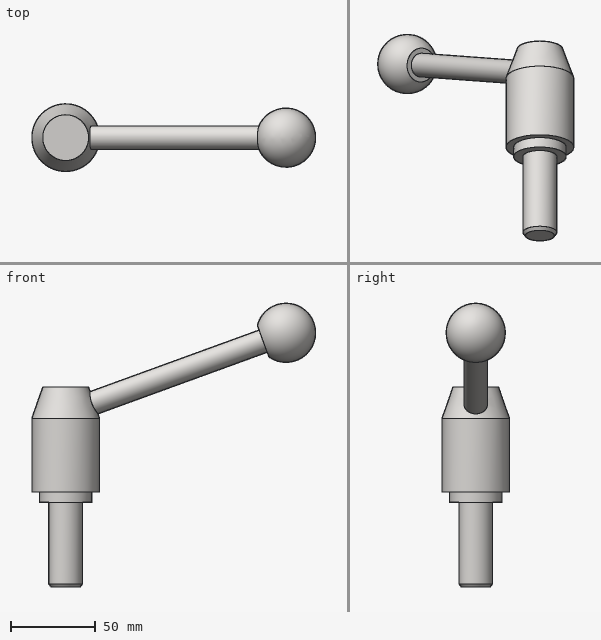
import cadquery as cq
import math


stud_diameter = 20.0
stud_length = 50.0
stud_chamfer_width = 1.5
stud_chamfer_height = 2.0

collar_diameter = 31.0
collar_height = 6.0
hub_diameter = 40.0
hub_top_diameter = 27.0
hub_shoulder_z = 49.5
hub_top_z = 68.0

arm_diameter = 14.0
arm_angle = 20.0
ball_diameter = 35.0
ball_flat_diameter = 20.0
ball_center_x = 129.81
ball_center_z = 99.82

ball_radius = ball_diameter / 2
ball_flat_radius = ball_flat_diameter / 2
ball_flat_offset = math.sqrt(ball_radius**2 - ball_flat_radius**2)

arm_length = ball_center_x / math.cos(math.radians(arm_angle))
arm_start_z = ball_center_z - ball_center_x * math.tan(math.radians(arm_angle))


def make_hub_and_stud():
    """Stud, collar and cone-topped hub revolved about Z."""
    stud_radius = stud_diameter / 2
    collar_radius = collar_diameter / 2
    hub_radius = hub_diameter / 2
    return (
        cq.Workplane("XZ")
        .moveTo(0, -stud_length)
        .lineTo(stud_radius - stud_chamfer_width, -stud_length)
        .lineTo(stud_radius, -stud_length + stud_chamfer_height)
        .lineTo(stud_radius, 0)
        .lineTo(collar_radius, 0)
        .lineTo(collar_radius, collar_height)
        .lineTo(hub_radius, collar_height)
        .lineTo(hub_radius, hub_shoulder_z)
        .lineTo(hub_top_diameter / 2, hub_top_z)
        .lineTo(0, hub_top_z)
        .close()
        .revolve(360, (0, 0), (0, 1))
    )


def make_arm_and_ball():
    """Arm and flat-faced ball revolved about the arm centreline."""
    arm_radius = arm_diameter / 2
    ball_flat_x = arm_length - ball_flat_offset
    profile = (
        cq.Workplane("XZ")
        .lineTo(0, arm_radius)
        .lineTo(ball_flat_x, arm_radius)
        .lineTo(ball_flat_x, ball_flat_radius)
        .threePointArc((arm_length, ball_radius), (arm_length + ball_radius, 0))
        .close()
    )
    level_arm = profile.revolve(360, (0, 0), (1, 0))
    tilted_arm = level_arm.rotate((0, 0, 0), (0, 1, 0), -arm_angle)
    return tilted_arm.translate((0, 0, arm_start_z))


result = make_hub_and_stud().union(make_arm_and_ball())